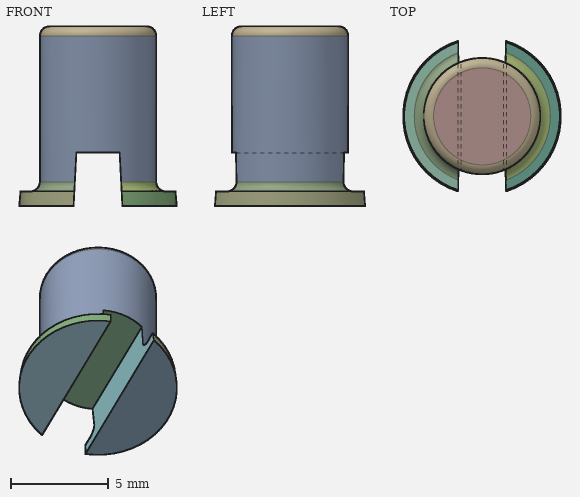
import cadquery as cq
import math

total_height = 9.25
body_diameter = 6.0
top_edge_radius = 0.5
flange_top_diameter = 8.0
flange_thickness = 0.75
flange_draft = 5.0
root_fillet_radius = 0.5
slot_height = 2.75
slot_base_width = 2.5
slot_draft = 3.0

rounding_mid_angle = 45
fillet_mid_angle = 225

body_radius = body_diameter / 2
flange_top_radius = flange_top_diameter / 2
flange_base_radius = flange_top_radius + flange_thickness * math.tan(math.radians(flange_draft))


def arc_point(center_x, center_z, radius, angle):
    """Point on an arc at the given angle in degrees."""
    turn = math.radians(angle)
    return (center_x + radius * math.cos(turn), center_z + radius * math.sin(turn))


def make_plug():
    """Solid of revolution: flanged base, root fillet, body and rounded top edge."""
    fillet_center_x = body_radius + root_fillet_radius
    fillet_top_z = flange_thickness + root_fillet_radius
    rounding_center_x = body_radius - top_edge_radius
    rounding_center_z = total_height - top_edge_radius
    return (
        cq.Workplane("XZ")
        .lineTo(flange_base_radius, 0)
        .lineTo(flange_top_radius, flange_thickness)
        .lineTo(fillet_center_x, flange_thickness)
        .threePointArc(
            arc_point(fillet_center_x, fillet_top_z, root_fillet_radius, fillet_mid_angle),
            (body_radius, fillet_top_z),
        )
        .lineTo(body_radius, rounding_center_z)
        .threePointArc(
            arc_point(rounding_center_x, rounding_center_z, top_edge_radius, rounding_mid_angle),
            (rounding_center_x, total_height),
        )
        .lineTo(0, total_height)
        .close()
        .revolve(360, (0, 0), (0, 1))
    )


def make_slot():
    """Tapered slot along Y, open at the base and at both ends."""
    base_half_width = slot_base_width / 2
    top_half_width = base_half_width - slot_height * math.tan(math.radians(slot_draft))
    return (
        cq.Workplane("XZ")
        .polyline([
            (-base_half_width, 0),
            (base_half_width, 0),
            (top_half_width, slot_height),
            (-top_half_width, slot_height),
        ])
        .close()
        .extrude(flange_base_radius, both=True)
    )


result = make_plug().cut(make_slot())